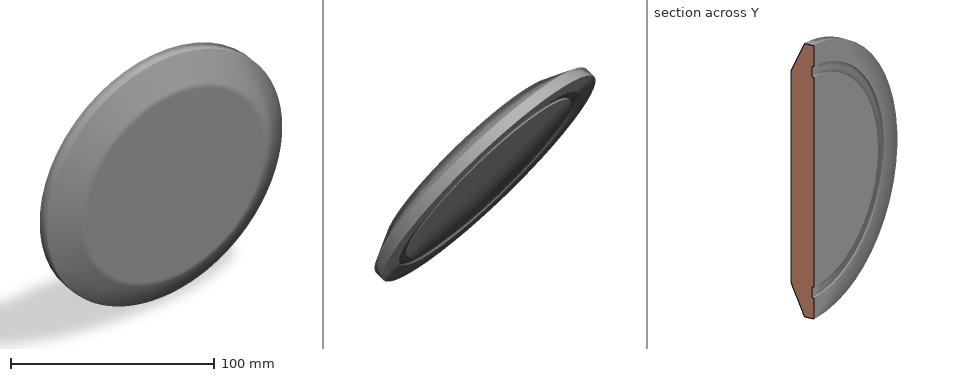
import cadquery as cq

outer_radius = 72.2
thickness = 14.0
rim_width = 5.8
back_radius = 55.7
rim_fillet = 1.0
back_fillet = 5.8

groove_outer_radius = 61.0
groove_inner_radius = 55.5
groove_depth = 1.2


def make_disc():
    """Cylindrical rim with a conical back, revolved about X."""
    profile = (
        cq.Workplane("XY")
        .moveTo(0, 0)
        .lineTo(0, outer_radius)
        .lineTo(rim_width, outer_radius)
        .lineTo(thickness, back_radius)
        .lineTo(thickness, 0)
        .close()
    )
    disc = profile.revolve(360, (0, 0, 0), (1, 0, 0))
    disc = disc.faces(">X").edges().fillet(back_fillet)
    rim_edge = cq.selectors.RadiusNthSelector(-1)
    return disc.edges("not <X").edges(rim_edge).fillet(rim_fillet)


def make_groove():
    """Ring removed from the flat face."""
    return (
        cq.Workplane("YZ")
        .circle(groove_outer_radius)
        .circle(groove_inner_radius)
        .extrude(groove_depth)
    )


result = make_disc().cut(make_groove())